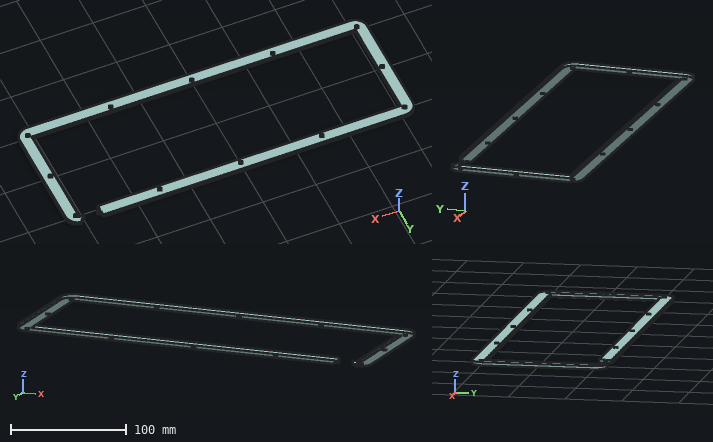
import cadquery as cq

length = 329.0
width = 119.5
thickness = 3.0
rail = 11.5
corner_radius = 11.5

rail_end_x = 133.5
end_bevel = 1.3
tab_reach = 3.0
tab_bottom_y = 53.3
tab_top_y = 56.0
tab_bevel = 1.0
hook_tip_x = 149.0
hook_tip_height = 1.3
hook_shoulder_y = 57.5

hole_diameter = 3.3
hole_pitch = 76.5
long_rail_hole_y = 52.3
short_rail_hole_x = 157.0
corner_hole_x = 155.5
corner_hole_y = 51.0

half_length = length / 2
half_width = width / 2
inner_x = half_length - rail
inner_y = half_width - rail


def closed_frame():
    """Rectangular ring with rounded outer and square inner corners."""
    outer = (
        cq.Workplane("XY")
        .rect(length, width)
        .extrude(thickness)
        .edges("|Z")
        .fillet(corner_radius)
    )
    opening = cq.Workplane("XY").rect(2 * inner_x, 2 * inner_y).extrude(thickness)
    return outer.cut(opening)


def rail_gap():
    """Gap between the tabbed rail end and the hooked corner."""
    tab_tip_x = rail_end_x + tab_reach
    rail_side = [
        (rail_end_x, inner_y),
        (rail_end_x, tab_bottom_y),
        (tab_tip_x, tab_bottom_y),
        (tab_tip_x, tab_top_y - tab_bevel),
        (tab_tip_x - tab_bevel, tab_top_y),
        (rail_end_x, tab_top_y),
        (rail_end_x, half_width - end_bevel),
        (rail_end_x - end_bevel, half_width),
    ]
    hook_side = [
        (inner_x + end_bevel, half_width),
        (inner_x, half_width - end_bevel),
        (inner_x, hook_shoulder_y),
        (hook_tip_x, tab_bottom_y + hook_tip_height),
        (hook_tip_x, tab_bottom_y),
        (inner_x, tab_bottom_y),
        (inner_x, inner_y),
    ]
    return cq.Workplane("XY").polyline(rail_side + hook_side).close().extrude(thickness)


def screw_holes():
    """Through holes along the rails and in the four corners."""
    centers = [(side * short_rail_hole_x, 0) for side in (-1, 1)]
    for y_side in (-1, 1):
        centers += [(step * hole_pitch, y_side * long_rail_hole_y) for step in (-1, 0, 1)]
        centers += [(x_side * corner_hole_x, y_side * corner_hole_y) for x_side in (-1, 1)]
    return cq.Workplane("XY").pushPoints(centers).circle(hole_diameter / 2).extrude(thickness)


result = closed_frame().cut(rail_gap()).cut(screw_holes())